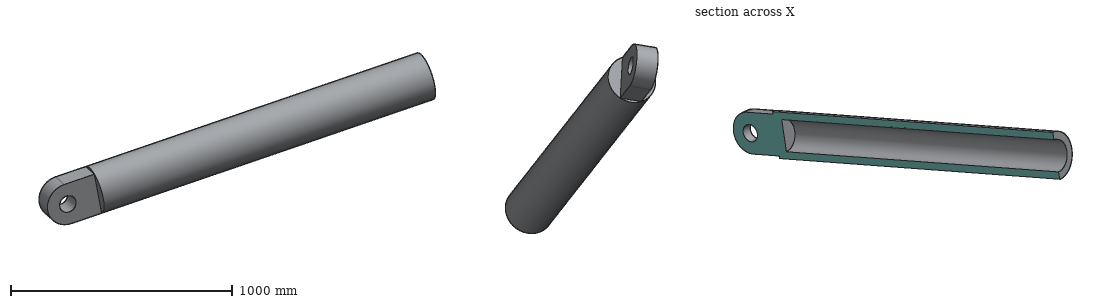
import cadquery as cq
import math

LUG_THICKNESS = 100.0
LUG_WIDTH = 200.0
LUG_RADIUS = LUG_WIDTH / 2
PIN_DIAMETER = 80.0
PIN_TO_BARREL = 150.0

BARREL_DIAMETER = math.hypot(LUG_THICKNESS, LUG_WIDTH)
PIN_TO_OPEN_END = 1800.0
BARREL_LENGTH = PIN_TO_OPEN_END - PIN_TO_BARREL
BORE_DIAMETER = 150.0
BARREL_FLOOR = 50.0
BORE_DEPTH = BARREL_LENGTH - BARREL_FLOOR

TILT_ANGLE = 10.31


def make_barrel():
    """Cylinder along +Y with a blind bore from its far end."""
    end_plane = cq.Plane(origin=(0, PIN_TO_BARREL, 0), xDir=(1, 0, 0), normal=(0, 1, 0))
    floor_plane = cq.Plane(origin=(0, PIN_TO_BARREL + BARREL_FLOOR, 0), xDir=(1, 0, 0), normal=(0, 1, 0))
    body = cq.Workplane(end_plane).circle(BARREL_DIAMETER / 2).extrude(BARREL_LENGTH)
    bore = cq.Workplane(floor_plane).circle(BORE_DIAMETER / 2).extrude(BORE_DEPTH)
    return body.cut(bore)


def make_lug():
    """Round-tipped eye centred on the pin axis, ending at the barrel's closed face."""
    outline = (
        cq.Workplane("YZ")
        .moveTo(PIN_TO_BARREL, LUG_RADIUS)
        .lineTo(0, LUG_RADIUS)
        .threePointArc((-LUG_RADIUS, 0), (0, -LUG_RADIUS))
        .lineTo(PIN_TO_BARREL, -LUG_RADIUS)
        .close()
    )
    eye = outline.extrude(LUG_THICKNESS / 2, both=True)
    pin_hole = cq.Workplane("YZ").circle(PIN_DIAMETER / 2).extrude(LUG_THICKNESS / 2, both=True)
    return eye.cut(pin_hole)


level_part = make_barrel().union(make_lug())
result = level_part.rotate((0, 0, 0), (1, 0, 0), TILT_ANGLE)